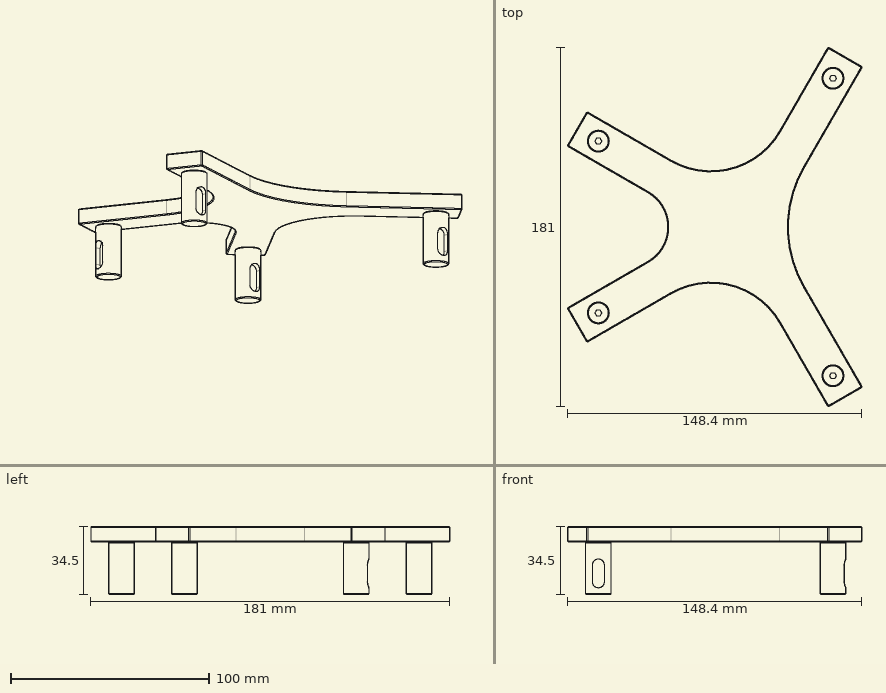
import cadquery as cq
import math

plate_thickness = 8.0
arm_length = 99.0
arm_width = 20.0
arm_angles = (60.0, 150.0, 210.0, 300.0)
fillet_beside_wide_gap = 60.0
fillet_beside_square_gap = 40.0
fillet_beside_narrow_gap = 20.0
gap_fillets = {
    0.0: fillet_beside_wide_gap,
    105.0: fillet_beside_square_gap,
    180.0: fillet_beside_narrow_gap,
    255.0: fillet_beside_square_gap,
}
edge_chamfer = 0.5

leg_distance = 86.6
leg_diameter = 13.0
leg_length = 26.5
slot_width = 6.0
slot_height = 14.5
slot_depth = 3.5
slot_bottom_height = 3.5
slot_center_height = slot_bottom_height + slot_height / 2
slot_directions = {60.0: 0.0, 150.0: 0.0, 210.0: 270.0, 300.0: 0.0}

screw_diameter = 5.0
screw_head_diameter = 10.0
screw_length = 16.0
head_recess = 0.2
clearance_diameter = 5.5
countersink_diameter = 11.0
socket_across_flats = 3.0
socket_depth = 2.5
socket_turn = 30.0
head_height = (screw_head_diameter - screw_diameter) / 2
countersink_depth = (countersink_diameter - clearance_diameter) / 2
screw_top = plate_thickness - head_recess
thread_depth_in_leg = screw_length - screw_top


def on_arm(angle, distance):
    """Point at a distance from the center along an arm's centerline."""
    turn = math.radians(angle)
    return distance * math.cos(turn), distance * math.sin(turn)


def make_arm(angle):
    """Radial bar with its two outer corners chamfered."""
    return (
        cq.Workplane("XY")
        .center(arm_length / 2, 0)
        .rect(arm_length, arm_width)
        .extrude(plate_thickness)
        .faces(">X")
        .edges("|Z")
        .chamfer(edge_chamfer)
        .rotate((0, 0, 0), (0, 0, 1), angle)
    )


def inner_corner(gap_angle):
    """Point where the edges of the two arms beside a gap meet."""
    half_gap = min(abs((arm - gap_angle + 180) % 360 - 180) for arm in arm_angles)
    return on_arm(gap_angle, arm_width / 2 / math.sin(math.radians(half_gap)))


def make_screw_hole():
    """Clearance hole with a countersink at the top face of the plate."""
    countersink_bottom = plate_thickness - countersink_depth
    return (
        cq.Workplane("XZ")
        .lineTo(clearance_diameter / 2, 0)
        .lineTo(clearance_diameter / 2, countersink_bottom)
        .lineTo(countersink_diameter / 2, plate_thickness)
        .lineTo(0, plate_thickness)
        .close()
        .revolve()
    )


def make_plate():
    plate = make_arm(arm_angles[0])
    for angle in arm_angles[1:]:
        plate = plate.union(make_arm(angle))
    for gap_angle, fillet_radius in gap_fillets.items():
        x, y = inner_corner(gap_angle)
        corner_edge = cq.selectors.NearestToPointSelector((x, y, plate_thickness / 2))
        plate = plate.edges("|Z").edges(corner_edge).fillet(fillet_radius)
    plate = plate.faces("<Z or >Z").edges().chamfer(edge_chamfer)
    for angle in arm_angles:
        plate = plate.cut(make_screw_hole().translate((*on_arm(angle, leg_distance), 0)))
    return plate


def make_leg(angle):
    """Post under an arm, with a threaded hole from above and a slot in its side."""
    leg = cq.Workplane("XY").circle(leg_diameter / 2).extrude(-leg_length)
    leg = leg.faces("<Z or >Z").edges().chamfer(edge_chamfer)
    screw_hole = cq.Workplane("XY").circle(screw_diameter / 2).extrude(-thread_depth_in_leg)
    slot = (
        cq.Workplane("YZ", origin=(leg_diameter / 2 - slot_depth, 0, slot_center_height - leg_length))
        .slot2D(slot_height, slot_width, 90)
        .extrude(slot_depth)
        .rotate((0, 0, 0), (0, 0, 1), slot_directions[angle])
    )
    return leg.cut(screw_hole).cut(slot).translate((*on_arm(angle, leg_distance), 0))


def make_screw(angle):
    """Countersunk screw with a hexagon socket."""
    shank_bottom = -thread_depth_in_leg
    head_bottom = screw_top - head_height
    screw = (
        cq.Workplane("XZ")
        .moveTo(0, shank_bottom)
        .lineTo(screw_diameter / 2, shank_bottom)
        .lineTo(screw_diameter / 2, head_bottom)
        .lineTo(screw_head_diameter / 2, screw_top)
        .lineTo(0, screw_top)
        .close()
        .revolve()
    )
    socket = (
        cq.Workplane("XY", origin=(0, 0, screw_top))
        .polygon(6, socket_across_flats, circumscribed=True)
        .extrude(-socket_depth)
        .rotate((0, 0, 0), (0, 0, 1), socket_turn)
    )
    return screw.cut(socket).translate((*on_arm(angle, leg_distance), 0))


plate = make_plate()
legs = [make_leg(angle) for angle in arm_angles]
screws = [make_screw(angle) for angle in arm_angles]

bodies = [plate, *legs, *screws]
result = cq.Compound.makeCompound([body.val() for body in bodies])